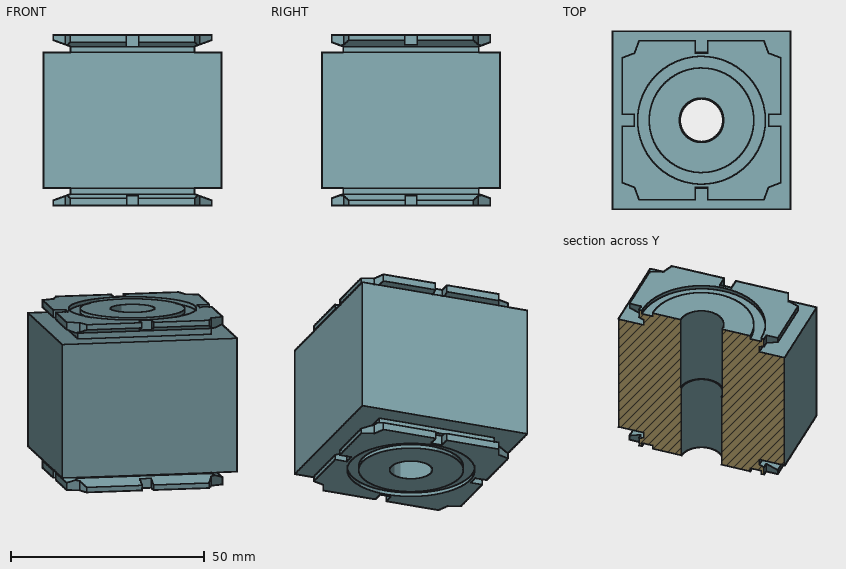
import cadquery as cq
import math

block_side = 46.0
block_height = 35.0
total_height = 44.0

end_height = (total_height - block_height) / 2
flange_side = 41.0
flange_depth = 3.0
neck_x = 32.0
neck_y = 35.0
undercut_angle = 20.0

corner_start = 16.1
corner_root = 17.3

slot_root = 17.3
top_slot_width = 3.2
bottom_slot_width = 3.0
bottom_slot_height = 2.58

groove_outer_diameter = 33.0
groove_inner_diameter = 27.0
groove_depth = 1.0
bore_diameter = 11.0
wide_bore_diameter = 11.45
wide_bore_depth = total_height / 2


def end_profile(plane, neck_width):
    """Neck and undercut flange outline, extruded across the full flange width."""
    flange_half = flange_side / 2
    neck_half = neck_width / 2
    neck_top = end_height - flange_depth
    lip_bottom = neck_top + (flange_half - neck_half) * math.tan(math.radians(undercut_angle))
    return (
        cq.Workplane(plane)
        .moveTo(-neck_half, 0)
        .lineTo(neck_half, 0)
        .lineTo(neck_half, neck_top)
        .lineTo(flange_half, lip_bottom)
        .lineTo(flange_half, end_height)
        .lineTo(-flange_half, end_height)
        .lineTo(-flange_half, lip_bottom)
        .lineTo(-neck_half, neck_top)
        .close()
        .extrude(flange_side / 2, both=True)
    )


def corner_notch():
    """V-shaped cutter for the +X +Y corner, as deep as the flange."""
    flange_half = flange_side / 2
    return (
        cq.Workplane("XY")
        .workplane(offset=end_height - flange_depth)
        .moveTo(corner_start, flange_half)
        .lineTo(corner_root, corner_root)
        .lineTo(flange_half, corner_start)
        .lineTo(flange_half, flange_half)
        .close()
        .extrude(flange_depth)
    )


def edge_slot(slot_width, slot_height):
    """Box cutter for the slot in the +X flange edge, open to the end face."""
    slot_depth = flange_side / 2 - slot_root
    return (
        cq.Workplane("XY")
        .box(slot_depth, slot_width, slot_height, centered=(False, True, False))
        .translate((slot_root, 0, end_height - slot_height))
    )


def ring_groove():
    return (
        cq.Workplane("XY")
        .workplane(offset=end_height - groove_depth)
        .circle(groove_outer_diameter / 2)
        .circle(groove_inner_diameter / 2)
        .extrude(groove_depth)
    )


def flanged_end(slot_width, slot_height):
    """One end of the part, pointing up, with its neck standing on Z = 0."""
    end = end_profile("XZ", neck_x).intersect(end_profile("YZ", neck_y))
    notch = corner_notch()
    slot = edge_slot(slot_width, slot_height)
    for quarter in range(4):
        angle = quarter * 90
        end = end.cut(notch.rotate((0, 0, 0), (0, 0, 1), angle))
        end = end.cut(slot.rotate((0, 0, 0), (0, 0, 1), angle))
    return end.cut(ring_groove())


def stepped_bore():
    """Through bore, slightly wider in its upper half."""
    narrow = cq.Workplane("XY").circle(bore_diameter / 2).extrude(total_height / 2, both=True)
    wide = (
        cq.Workplane("XY")
        .workplane(offset=total_height / 2 - wide_bore_depth)
        .circle(wide_bore_diameter / 2)
        .extrude(wide_bore_depth)
    )
    return narrow.union(wide)


block = cq.Workplane("XY").box(block_side, block_side, block_height)
top_end = flanged_end(top_slot_width, flange_depth).translate((0, 0, block_height / 2))
bottom_end = (
    flanged_end(bottom_slot_width, bottom_slot_height)
    .mirror("XY")
    .translate((0, 0, -block_height / 2))
)
result = block.union(top_end).union(bottom_end).cut(stepped_bore())